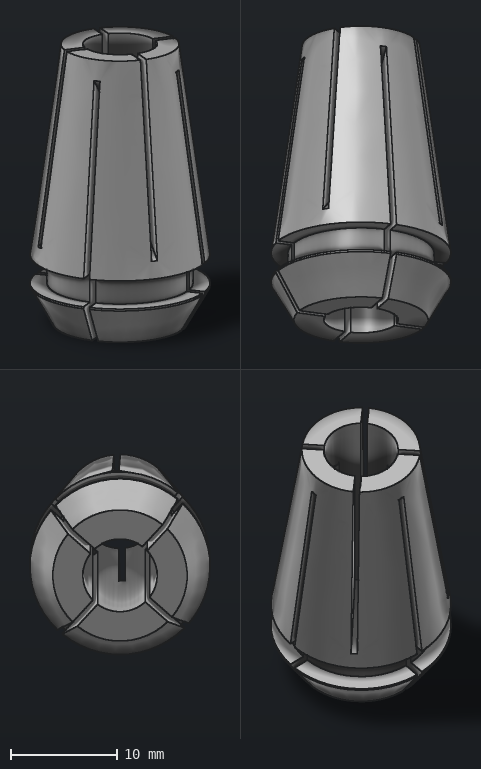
import cadquery as cq
import math

length = 27.5
max_radius = 17.0 / 2
bore_radius = 7.0 / 2
body_cone_angle = 8.0

nose_cone_angle = 30.0
flange_top_z = 3.95
rim_height = 0.2

groove_radius = 13.8 / 2
groove_top_z = 6.72

slot_width = 0.6
slots_per_end = 4
saw_radius = 20.0
nose_slot_outer_z = 25.5
nose_slot_bore_z = 22.7
tail_slot_outer_z = 8.4
tail_slot_bore_z = 13.5

slot_pitch = 360.0 / slots_per_end
clearance = 1.0

rim_bottom_z = flange_top_z - rim_height
nose_radius = max_radius - rim_bottom_z * math.tan(math.radians(nose_cone_angle))


def body_radius(z):
    """Radius of the tapered body at height z."""
    return max_radius - (z - groove_top_z) * math.tan(math.radians(body_cone_angle))


def make_body():
    """Revolve the outer profile together with the plain through bore."""
    return (
        cq.Workplane("XZ")
        .moveTo(bore_radius, 0)
        .lineTo(nose_radius, 0)
        .lineTo(max_radius, rim_bottom_z)
        .lineTo(max_radius, flange_top_z)
        .lineTo(groove_radius, flange_top_z)
        .lineTo(groove_radius, groove_top_z)
        .lineTo(max_radius, groove_top_z)
        .lineTo(body_radius(length), length)
        .lineTo(bore_radius, length)
        .close()
        .revolve(360, (0, 0, 0), (0, 1, 0))
    )


def saw_arc_middle(bore_z, outer_z):
    """Middle point of the saw arc, which bows into the slot floor."""
    outer_r = body_radius(outer_z)
    run = outer_r - bore_radius
    rise = outer_z - bore_z
    chord = math.hypot(run, rise)
    sagitta = saw_radius - math.sqrt(saw_radius**2 - (chord / 2) ** 2)
    middle_r = (bore_radius + outer_r) / 2 - sagitta * abs(rise) / chord
    middle_z = (bore_z + outer_z) / 2 + math.copysign(sagitta * run / chord, rise)
    return middle_r, middle_z


def make_slot(bore_z, outer_z, open_z, angle):
    """Radial slot open at open_z, with a saw-cut floor from the bore to the outside."""
    reach = max_radius + clearance
    return (
        cq.Workplane("XZ")
        .moveTo(0, open_z)
        .lineTo(0, bore_z)
        .lineTo(bore_radius, bore_z)
        .threePointArc(saw_arc_middle(bore_z, outer_z), (body_radius(outer_z), outer_z))
        .lineTo(reach, outer_z)
        .lineTo(reach, open_z)
        .close()
        .extrude(slot_width / 2, both=True)
        .rotate((0, 0, 0), (0, 0, 1), angle)
    )


def cut_slots(collet):
    """Cut the nose slots on the X and Y axes and the tail slots halfway between them."""
    for index in range(slots_per_end):
        nose_angle = index * slot_pitch
        tail_angle = nose_angle + slot_pitch / 2
        collet = collet.cut(make_slot(nose_slot_bore_z, nose_slot_outer_z, -clearance, nose_angle))
        collet = collet.cut(make_slot(tail_slot_bore_z, tail_slot_outer_z, length + clearance, tail_angle))
    return collet


result = cut_slots(make_body())